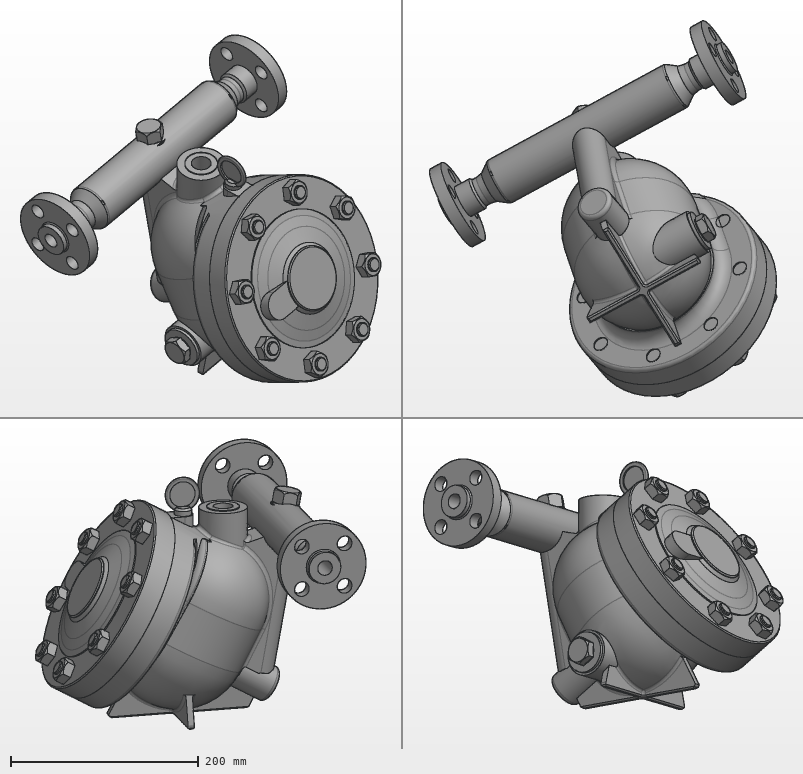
import cadquery as cq
import math


JOINT_TILT = 30.0
JOINT_X, JOINT_Z = 181.5, 125.5
FLANGE_DIA = 222.0
BODY_FLANGE_THICK = 28.5
BODY_FLANGE_ROUND = 4.2
COVER_THICK = 25.5
COVER_CHAMFER = 1.5
BOLT_CIRCLE_DIA = 186.0
BOLT_COUNT = 8
STUD_HOLE_DIA = 16.0
STUD_HOLE_DEPTH = 1.5
STUD_DIA = 15.0
STUD_CHAMFER = 1.0
STUD_TIP = 14.5
NUT_ACROSS_FLATS = 24.5
NUT_HEIGHT = 11.5
NUT_FACE_DIA = 23.0

CROWN_RIM_DIA = 148.8
CROWN_SHOULDER_DIA = 134.5
CROWN_STEP_DIA = 111.3
CROWN_RIM_HEIGHT = 2.8
CROWN_STEP_HEIGHT = 6.3
CROWN_TOP_HEIGHT = 13.3
HUB_DIA = 70.0
HUB_HEIGHT = 17.0
HUB_CHAMFER = 1.5
HUB_SKIRT = 3.5
CROWN_RIB_WIDTH = 32.0
CROWN_RIB_LENGTH = 70.7
CROWN_RIB_HEIGHT = 14.7

VESSEL_TILT = 27.5
VESSEL_RADIUS = 74.2
VESSEL_SPAN = 50.8
VESSEL_X, VESSEL_Z = 91.5, 125.3
NECK_RADIUS = 68.2
NECK_FILLET = 14.0
NECK_LENGTH = 16.0
NECK_CENTRE_LOW = -3.5
NECK_CENTRE_HIGH = 44.0

HEADER_Z = 200.5
HEADER_DIA = 52.0
HEADER_HALF_LENGTH = 175.0
HEADER_BORE_DIA = 16.0
HEADER_BORE_DEPTH = 66.5
HEADER_LIP = 2.0
HEADER_LIP_DIA = 51.0
FACE_SKIRT = 1.5
HEADER_CONE_START = 107.8
HEADER_CONE_END = 121.0
PIPE_DIA = 35.0
WELD_DIA = 32.0
WELD_START = 128.5
WELD_END = 133.7
NECK_DIA = 36.5
NECK_START = 136.0
PIPE_FLANGE_DIA = 95.0
PIPE_FLANGE_OUTER = 168.0
PIPE_FLANGE_INNER = 154.0
PIPE_BOLT_PITCH = 47.2
PIPE_BOLT_DIA = 16.0

LEG_TILT = 10.2
LEG_DIA = 37.0
LEG_LENGTH = 161.0
WEB_FILLET = 5.5
WEB_TOP_X, WEB_TOP_Z = 52.5, 185.5
PLUG_SEAT_DIA = 32.0
PLUG_SEAT_TOP = 21.7
PLUG_NECK_DIA = 26.0
PLUG_HEAD_START = 23.5
PLUG_TOP = 38.5
PLUG_ACROSS_FLATS = 26.5
PLUG_FACE_DIA = 26.0
LOWER_BOSS_DIA = 40.0
LOWER_BOSS_X, LOWER_BOSS_Z = 12.2, 22.8
LOWER_BOSS_LENGTH = 63.0
LOWER_BOSS_ROUND = 4.5

OUTLET_X = 65.28
OUTLET_DIA = 52.0
OUTLET_TOP = 224.7
OUTLET_FILLET = 3.5
OUTLET_FACE_DIA = 35.0
OUTLET_FACE_HEIGHT = 1.0
OUTLET_BORE_DIA = 21.0
OUTLET_BORE_DEPTH = 35.0

SADDLE_FLARE_X = 92.8
SADDLE_END_X = 119.0
SADDLE_END_HALF_WIDTH = 49.0
SADDLE_POINTS = [(49.0, 185.5), (SADDLE_END_X, 224.0), (SADDLE_END_X, 168.0), (70.0, 168.0)]

DRAIN_X, DRAIN_Z = 102.2, 37.8
DRAIN_DIA = 49.5
DRAIN_FACE_DIA = 44.0
DRAIN_BOSS_END = 76.5
DRAIN_FACE_END = 80.0
DRAIN_NECK_END = 81.2
DRAIN_HEX_END = 91.5

EYE_X, EYE_Y, EYE_Z = 109.5, -2.98, 241.0
EYE_DIA = 37.8
EYE_DISH_DIA = 28.0
EYE_THICK = 3.0
EYE_DISH_DEPTH = 2.0
EYE_ROUND = 1.22
PAD_X = 110.5
PAD_WIDTH = 23.5
PAD_TOP = 220.0
PAD_BOTTOM = 192.5
PAD_END_X = 127.5
SCREW_DIA = 19.0
SCREW_TOP = 228.0
SCREW_CHAMFER = 2.5

FOOT_X = 119.0
FOOT_PLATE_THICK = 7.0
FOOT_CORNER_ROUND = 3.0
FOOT_CHAMFER = 1.8
FOOT_LENGTH_POINTS = [
    (38.5, 0),
    (31.0, 14.0),
    (64.8, 35.0),
    (VESSEL_X, 42.0),
    (168.0, 49.0),
    (193.0, 4.2),
    (190.5, 0),
]
FOOT_WIDTH_POINTS = [(-68.2, 0), (-68.2, 4.2), (-57.8, 42.0)]


def joint_place(shape):
    """Move a shape built around the X axis, parting face at X = 0, onto the tilted joint."""
    return shape.rotate((0, 0, 0), (0, 1, 0), -JOINT_TILT).translate((JOINT_X, 0, JOINT_Z))


def rod(dia, start, end):
    """Cylinder on the X axis."""
    return cq.Workplane("YZ").workplane(offset=start).circle(dia / 2).extrude(end - start)


def pillar(dia, x, bottom, top):
    """Upright cylinder on the plane of symmetry."""
    return cq.Workplane("XY", origin=(x, 0, bottom)).circle(dia / 2).extrude(top - bottom)


def hexagon(across_flats):
    """Circumscribed diameter of a hexagon."""
    return across_flats / math.cos(math.radians(30))


def hex_head(across_flats, face_dia, height):
    """Upright hexagon, its top corners bevelled to a round face."""
    head = cq.Workplane("XY").polygon(6, hexagon(across_flats)).extrude(height)
    cone = cq.Workplane("XY").circle(face_dia / 2 + height).extrude(height, taper=45)
    return head.intersect(cone)


def rib(points, width):
    """Plate centred on the plane of symmetry from an XZ outline."""
    return cq.Workplane("XZ").polyline(points).close().extrude(width / 2, both=True)


def stud_angles():
    """Angles of the studs around the joint axis, straddling the plane of symmetry."""
    step = 360 / BOLT_COUNT
    return [(i + 0.5) * step for i in range(BOLT_COUNT)]


def make_vessel():
    low = cq.Workplane("XY").sphere(VESSEL_RADIUS).translate((0, 0, -VESSEL_SPAN))
    barrel = cq.Workplane("XY").circle(VESSEL_RADIUS).extrude(-VESSEL_SPAN)
    capsule = cq.Workplane("XY").sphere(VESSEL_RADIUS).union(barrel).union(low)
    return capsule.rotate((0, 0, 0), (0, 1, 0), -VESSEL_TILT).translate((VESSEL_X, 0, VESSEL_Z))


def make_flange():
    """Body flange with the flared neck that carries it."""
    flange = rod(FLANGE_DIA, -BODY_FLANGE_THICK, 0).edges("<X").fillet(BODY_FLANGE_ROUND)
    neck_start = -BODY_FLANGE_THICK - NECK_LENGTH
    neck = (
        cq.Workplane("YZ", origin=(neck_start, 0, (NECK_CENTRE_LOW + NECK_CENTRE_HIGH) / 2))
        .slot2D(NECK_CENTRE_HIGH - NECK_CENTRE_LOW + 2 * NECK_RADIUS, 2 * NECK_RADIUS, 90)
        .extrude(NECK_LENGTH)
    )
    wide_plate = rod(2 * FLANGE_DIA, -BODY_FLANGE_THICK, 0)
    root = cq.selectors.BoxSelector(
        (-BODY_FLANGE_THICK - 0.5, -FLANGE_DIA / 2, -FLANGE_DIA),
        (-BODY_FLANGE_THICK + 0.5, FLANGE_DIA / 2, FLANGE_DIA),
    )
    neck = wide_plate.union(neck).faces("<X[1]").edges().edges(root).fillet(NECK_FILLET)
    neck = neck.intersect(rod(FLANGE_DIA, neck_start, -BODY_FLANGE_THICK))
    holes = (
        cq.Workplane("YZ", origin=(-BODY_FLANGE_THICK, 0, 0))
        .polarArray(BOLT_CIRCLE_DIA / 2, stud_angles()[0], 360, BOLT_COUNT)
        .circle(STUD_HOLE_DIA / 2)
        .extrude(STUD_HOLE_DEPTH)
    )
    return joint_place(flange.cut(holes).union(neck))


def make_header():
    """Header pipe revolved about Y, with its drilled end flanges."""
    r_pipe = PIPE_DIA / 2
    r_neck = NECK_DIA / 2
    r_weld = WELD_DIA / 2
    half_profile = [
        (HEADER_DIA / 2, HEADER_CONE_START),
        (HEADER_LIP_DIA / 2, HEADER_CONE_START + HEADER_LIP),
        (r_pipe, HEADER_CONE_END),
        (r_weld, WELD_START),
        (r_weld, WELD_END),
        (r_neck, NECK_START),
        (r_neck, PIPE_FLANGE_INNER),
        (PIPE_FLANGE_DIA / 2, PIPE_FLANGE_INNER),
        (PIPE_FLANGE_DIA / 2, PIPE_FLANGE_OUTER),
        (r_pipe + FACE_SKIRT, PIPE_FLANGE_OUTER),
        (r_pipe, PIPE_FLANGE_OUTER + FACE_SKIRT),
        (r_pipe, HEADER_HALF_LENGTH),
        (0, HEADER_HALF_LENGTH),
    ]
    mirrored_profile = [(r, -y) for r, y in reversed(half_profile)]
    header = cq.Workplane("XY").polyline(mirrored_profile + half_profile).close()
    header = header.revolve(360, (0, 0), (0, 1)).translate((0, 0, HEADER_Z))
    bolt_offset = PIPE_BOLT_PITCH / 2
    corners = [(x, z) for x in (-bolt_offset, bolt_offset) for z in (-bolt_offset, bolt_offset)]
    holes = (
        cq.Workplane("XZ", origin=(0, 0, HEADER_Z))
        .pushPoints(corners)
        .circle(PIPE_BOLT_DIA / 2)
        .extrude(HEADER_HALF_LENGTH, both=True)
    )
    body = cq.Workplane("XZ", origin=(0, 0, HEADER_Z)).circle(HEADER_DIA / 2).extrude(
        HEADER_CONE_START, both=True
    )
    return header.cut(holes.cut(body))


def make_header_bores():
    """Blind bore in each end of the header."""
    end = cq.Workplane("XZ", origin=(0, HEADER_HALF_LENGTH, HEADER_Z)).circle(HEADER_BORE_DIA / 2)
    bore = end.extrude(HEADER_BORE_DEPTH)
    return bore.union(bore.mirror("XZ"))


def leg_place(shape):
    """Tilt a shape built on an upright axis and hang it from the header axis."""
    return shape.rotate((0, 0, 0), (0, 1, 0), -LEG_TILT).translate((0, 0, HEADER_Z))


def make_leg():
    """Round-backed leg, joined to the vessel by a web as wide as the leg."""
    tube = leg_place(cq.Workplane("XY").circle(LEG_DIA / 2).extrude(-LEG_LENGTH))
    foot_x = LEG_LENGTH * math.sin(math.radians(LEG_TILT))
    foot_z = HEADER_Z - LEG_LENGTH * math.cos(math.radians(LEG_TILT))
    web_points = [
        (0, HEADER_Z),
        (foot_x, foot_z),
        (VESSEL_X, foot_z),
        (VESSEL_X, VESSEL_Z),
        (WEB_TOP_X, WEB_TOP_Z),
    ]
    return tube.union(rib(web_points, LEG_DIA))


def make_header_plug():
    """Hexagon plug on a round seat, in line with the leg."""
    seat = cq.Workplane("XY").circle(PLUG_SEAT_DIA / 2).extrude(PLUG_SEAT_TOP)
    neck = cq.Workplane("XY").circle(PLUG_NECK_DIA / 2).extrude(PLUG_HEAD_START)
    head = hex_head(PLUG_ACROSS_FLATS, PLUG_FACE_DIA, PLUG_TOP - PLUG_HEAD_START)
    return leg_place(seat.union(neck).union(head.translate((0, 0, PLUG_HEAD_START))))


def make_lower_boss():
    """Round-ended boss below the leg, parallel to the joint axis."""
    boss = rod(LOWER_BOSS_DIA, 0, LOWER_BOSS_LENGTH).edges("<X").fillet(LOWER_BOSS_ROUND)
    boss = boss.rotate((0, 0, 0), (0, 1, 0), -JOINT_TILT)
    return boss.translate((LOWER_BOSS_X, 0, LOWER_BOSS_Z))


def make_outlet():
    """Upright boss with a raised face, and the saddle that joins it to the flange."""
    boss = pillar(OUTLET_DIA, OUTLET_X, VESSEL_Z, OUTLET_TOP)
    face = pillar(OUTLET_FACE_DIA, OUTLET_X, OUTLET_TOP, OUTLET_TOP + OUTLET_FACE_HEIGHT)
    plan = [
        (0, OUTLET_DIA / 2),
        (SADDLE_FLARE_X, OUTLET_DIA / 2),
        (SADDLE_END_X, SADDLE_END_HALF_WIDTH),
    ]
    flared = cq.Workplane("XY").polyline(plan + [(x, -y) for x, y in reversed(plan)]).close()
    saddle = rib(SADDLE_POINTS, 2 * SADDLE_END_HALF_WIDTH).intersect(flared.extrude(OUTLET_TOP))
    saddle = saddle.intersect(joint_place(rod(FLANGE_DIA, -JOINT_X, 0)))
    return boss.union(face).union(saddle)


def make_outlet_bore():
    top = OUTLET_TOP + OUTLET_FACE_HEIGHT
    return pillar(OUTLET_BORE_DIA, OUTLET_X, top - OUTLET_BORE_DEPTH, top)


def make_drain():
    """Side boss closed by a hexagon plug, along -Y."""
    def disc(dia, end):
        return cq.Workplane("XZ", origin=(DRAIN_X, 0, DRAIN_Z)).circle(dia / 2).extrude(end)

    head = hex_head(PLUG_ACROSS_FLATS, PLUG_FACE_DIA, DRAIN_HEX_END - DRAIN_NECK_END)
    head = head.rotate((0, 0, 0), (0, 0, 1), 30).rotate((0, 0, 0), (1, 0, 0), 90)
    head = head.translate((DRAIN_X, -DRAIN_NECK_END, DRAIN_Z))
    drain = disc(DRAIN_DIA, DRAIN_BOSS_END).union(disc(DRAIN_FACE_DIA, DRAIN_FACE_END))
    return drain.union(disc(PLUG_NECK_DIA, DRAIN_NECK_END)).union(head)


def make_pad():
    """Round-ended pad for the lifting screw, running into the flange."""
    radius = PAD_WIDTH / 2
    height = PAD_TOP - PAD_BOTTOM
    length = PAD_END_X - PAD_X
    block = cq.Workplane("XY", origin=(PAD_X + length / 2, 0, PAD_BOTTOM + height / 2))
    return pillar(PAD_WIDTH, PAD_X, PAD_BOTTOM, PAD_TOP).union(block.box(length, 2 * radius, height))


def make_pad_clearance():
    """Space above the pad, cut out of the flange rim."""
    return make_pad().translate((0, 0, PAD_TOP - PAD_BOTTOM))


def make_lifting_eye():
    """Screw with a thin dished disc standing on it."""
    screw = pillar(SCREW_DIA, EYE_X, PAD_TOP, SCREW_TOP).faces(">Z").edges().chamfer(SCREW_CHAMFER)
    front = EYE_Y - EYE_THICK / 2
    disc = cq.Workplane("XZ", origin=(EYE_X, front + EYE_THICK, EYE_Z)).circle(EYE_DIA / 2)
    disc = disc.extrude(EYE_THICK).edges().fillet(EYE_ROUND)
    dish = cq.Workplane("XZ", origin=(EYE_X, front + EYE_DISH_DEPTH, EYE_Z))
    dish = dish.circle(EYE_DISH_DIA / 2).extrude(EYE_DISH_DEPTH)
    return screw.union(disc.cut(dish))


def make_foot():
    """Two crossed upright plates under the vessel."""
    lengthwise = rib(FOOT_LENGTH_POINTS, FOOT_PLATE_THICK)
    crosswise = (
        cq.Workplane("YZ", origin=(FOOT_X, 0, 0))
        .polyline(FOOT_WIDTH_POINTS + [(-y, z) for y, z in reversed(FOOT_WIDTH_POINTS)])
        .close()
        .extrude(FOOT_PLATE_THICK / 2, both=True)
    )
    half = FOOT_PLATE_THICK / 2 + 0.05
    corner = cq.selectors.BoxSelector((FOOT_X - half, -half, -3.5), (FOOT_X + half, half, 105))
    foot = lengthwise.union(crosswise).edges("|Z").edges(corner).fillet(FOOT_CORNER_ROUND)
    return foot.faces("<Z").edges().chamfer(FOOT_CHAMFER)


def fillet_web(shape):
    """Round the inner corners where the sides of the leg web meet the vessel."""
    def on_web_side(edge):
        centre = edge.Center()
        on_side = abs(abs(centre.y) - LEG_DIA / 2) < 0.05
        steep = abs(edge.tangentAt(0.5).z) > abs(edge.tangentAt(0.5).x)
        return on_side and steep and OUTLET_X > centre.x > LEG_LENGTH * math.sin(math.radians(LEG_TILT))

    return shape.newObject(shape.edges().filter(on_web_side).vals()).fillet(WEB_FILLET)


def fillet_foot(shape):
    """Round the inner corners where the sides of the foot plates meet the vessel."""
    half = FOOT_PLATE_THICK / 2

    def on_plate_side(edge):
        centre = edge.Center()
        on_side = abs(abs(centre.y) - half) < 0.05 or abs(abs(centre.x - FOOT_X) - half) < 0.05
        return on_side and edge.geomType() == "CIRCLE" and centre.z > 3.5

    return shape.newObject(shape.edges().filter(on_plate_side).vals()).fillet(FOOT_CORNER_ROUND)


def fillet_outlet(shape):
    """Round the foot of the outlet boss, where it rises out of the saddle and the vessel."""
    def on_boss(edge):
        points = [edge.positionAt(t) for t in (0.0, 0.3, 0.7, 1.0)]
        reach = [math.hypot(p.x - OUTLET_X, p.y) for p in points]
        return all(abs(r - OUTLET_DIA / 2) < 0.07 for r in reach) and edge.Center().z < OUTLET_TOP - 3.5

    return shape.newObject(shape.edges().filter(on_boss).vals()).fillet(OUTLET_FILLET)


def make_housing():
    housing = fillet_web(make_vessel().union(make_leg()))
    housing = fillet_foot(housing.union(make_foot()))
    housing = fillet_outlet(housing.union(make_outlet()))
    additions = [
        make_flange(),
        make_lower_boss(),
        make_drain(),
        make_header(),
        make_header_plug(),
    ]
    for addition in additions:
        housing = housing.union(addition)
    housing = housing.cut(make_pad_clearance()).union(make_pad()).union(make_lifting_eye())
    return housing.cut(make_header_bores()).cut(make_outlet_bore())


def make_nut():
    """Hexagon nut and stud end on the X axis, standing on X = 0, one corner pointing up."""
    nut = hex_head(NUT_ACROSS_FLATS, NUT_FACE_DIA, NUT_HEIGHT).rotate((0, 0, 0), (0, 1, 0), 90)
    stud = rod(STUD_DIA, 0, STUD_TIP).faces(">X").edges().chamfer(STUD_CHAMFER)
    return nut.union(stud)


def make_cover():
    """Disc with a stepped crown, a central hub, a radial rib and a ring of nuts."""
    disc = rod(FLANGE_DIA, 0, COVER_THICK).edges(">X").chamfer(COVER_CHAMFER)
    crown_profile = [
        (0, 0),
        (CROWN_RIM_DIA / 2, 0),
        (CROWN_RIM_DIA / 2, CROWN_RIM_HEIGHT / 2),
        (CROWN_SHOULDER_DIA / 2, CROWN_RIM_HEIGHT),
        (CROWN_STEP_DIA / 2, CROWN_STEP_HEIGHT),
        (HUB_DIA / 2 + HUB_SKIRT, CROWN_TOP_HEIGHT - HUB_SKIRT / 2),
        (HUB_DIA / 2, CROWN_TOP_HEIGHT + HUB_SKIRT / 2),
        (0, CROWN_TOP_HEIGHT + HUB_SKIRT / 2),
    ]
    crown_points = [(COVER_THICK + height, radius) for radius, height in crown_profile]
    crown = cq.Workplane("XZ").polyline(crown_points).close().revolve(360, (0, 0), (1, 0))
    hub = rod(HUB_DIA, COVER_THICK, COVER_THICK + HUB_HEIGHT).faces(">X").edges().chamfer(HUB_CHAMFER)
    rib_straight = CROWN_RIB_LENGTH - CROWN_RIB_WIDTH / 2
    rib_end = (
        cq.Workplane("YZ", origin=(COVER_THICK, -rib_straight / 2, 0))
        .slot2D(rib_straight + CROWN_RIB_WIDTH, CROWN_RIB_WIDTH)
        .extrude(CROWN_RIB_HEIGHT)
    )
    cover = disc.union(crown).union(rib_end).union(hub)
    nut = make_nut().translate((COVER_THICK, 0, BOLT_CIRCLE_DIA / 2))
    for angle in stud_angles():
        cover = cover.union(nut.rotate((0, 0, 0), (1, 0, 0), angle))
    return joint_place(cover)


housing = make_housing()
cover = make_cover()
result = cq.Compound.makeCompound([housing.val(), cover.val()])